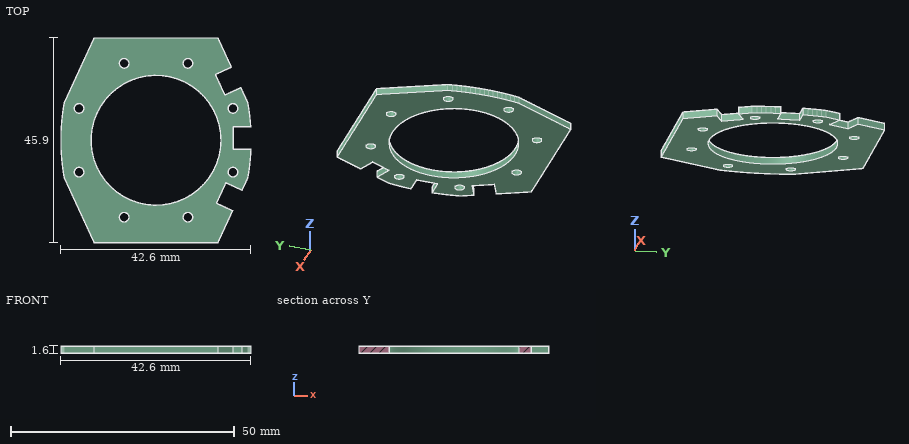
import math

import cadquery as cq

thickness = 1.6
plate_length = 45.85
plate_width = 42.61
end_width = 27.7
shoulder_width = 41.1
shoulder_span = 16.8
bow_facets = 16

bore_diameter = 29.0
hole_diameter = 2.1
hole_count = 8
hole_circle_diameter = 37.25

slot_width = 5.0
slot_cut_length = 8.0
middle_slot_floor = (17.3, 0.5)
upper_slot_floor = (14.36, 12.42)
lower_slot_floor = (14.6, -11.81)
slot_tilt = math.degrees(
    math.atan2((shoulder_width - end_width) / 2, (plate_length - shoulder_span) / 2)
)


def bow_points():
    """Corners of the +X bowed side, from the upper shoulder down to the lower one."""
    rise = (plate_width - shoulder_width) / 2
    half_chord = shoulder_span / 2
    radius = (half_chord**2 + rise**2) / (2 * rise)
    centre_x = plate_width / 2 - radius
    half_angle = math.asin(half_chord / radius)
    points = []
    for step in range(bow_facets + 1):
        angle = half_angle * (1 - 2 * step / bow_facets)
        points.append((centre_x + radius * math.cos(angle), radius * math.sin(angle)))
    return points


def make_plate():
    """Flat plate with straight ends, slanted corners and bowed sides."""
    right_side = [
        (end_width / 2, plate_length / 2),
        *bow_points(),
        (end_width / 2, -plate_length / 2),
    ]
    left_side = [(-x, -y) for x, y in right_side]
    return cq.Workplane("XY").polyline(right_side + left_side).close().extrude(thickness)


def cut_round_openings(plate):
    """Central bore and the ring of small holes around it."""
    first_hole_angle = 180 / hole_count
    return (
        plate.faces(">Z")
        .workplane(origin=(0, 0, thickness))
        .circle(bore_diameter / 2)
        .polarArray(hole_circle_diameter / 2, first_hole_angle, 360, hole_count)
        .circle(hole_diameter / 2)
        .cutThruAll()
    )


def make_slot(floor_midpoint, angle):
    """Cutter for a square slot opening outward from its floor at the given angle."""
    floor_x, floor_y = floor_midpoint
    return (
        cq.Workplane("XY")
        .box(slot_cut_length, slot_width, thickness, centered=(False, True, False))
        .rotate((0, 0, 0), (0, 0, 1), angle)
        .translate((floor_x, floor_y, 0))
    )


result = cut_round_openings(make_plate())
for floor_midpoint, angle in (
    (upper_slot_floor, slot_tilt),
    (middle_slot_floor, 0),
    (lower_slot_floor, -slot_tilt),
):
    result = result.cut(make_slot(floor_midpoint, angle))